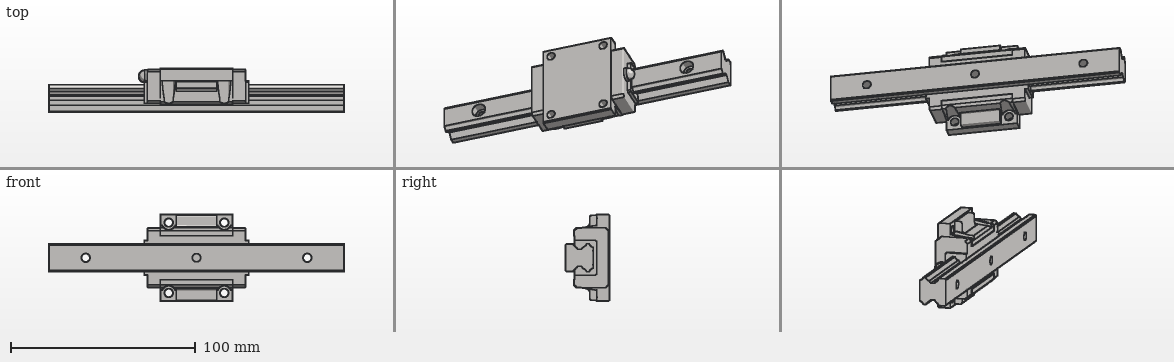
import cadquery as cq
import math


rail_length = 160.0
rail_height = 15.0
rail_half_width = 7.5
base_chamfer = 0.6
base_side_top = 4.0
neck_bottom = 6.7
neck_top = 8.6
neck_half_width = 4.6
lower_race_bottom = 9.6
lower_race_half_width = 5.8
head_flat_bottom = 11.5
head_flat_top = 13.0
rail_top_half_width = 5.6
race_sag = 0.3
screw_pitch = 60.0
screw_hole_diameter = 4.5
counterbore_diameter = 7.5
counterbore_depth = 5.3

top_face = 24.0
block_length = 39.2
flange_half_width = 23.5
flange_edge_chamfer = 0.6
flange_underside = 17.1
wall_top_half_width = 17.6
wall_bottom = 8.0
body_half_width = 16.2
body_chamfer = 1.5
skirt_bottom = 5.0
runner_bottom = 4.5
runner_inner_half_width = 11.8

rib_length = 21.8
rib_half_width = 23.0
rib_bottom = 13.1
rib_root_chamfer = 0.5
rib_fillet = 1.1
cove_radius = 1.8
cove_end_half_width = 16.8

flange_hole_pitch_x = 30.0
flange_hole_pitch_z = 38.0
flange_hole_diameter = 4.5
clearance_diameter = 7.7

caps_length = 53.1
cap_top = 23.4
cap_edge_fillet = 0.6
seals_length = 56.8
seal_half_width = 9.5
seal_top = 17.1
seal_chamfer = 0.8

nipple_height = 19.5
nipple_collar_radius = 3.7
nipple_collar_length = 1.5
nipple_ball_radius = 3.4


def centred_prism(outline, length):
    """Extrude an outline in the YZ plane along X, centred on X = 0."""
    return outline.close().extrude(length / 2, both=True)


def symmetric_prism(half_outline, length):
    """Extrude the +Z half of a profile along X and join its mirror image."""
    half = centred_prism(half_outline, length)
    return half.union(half.mirror("XY")).clean()


def race_arc(outline, start, end):
    """Add a concave arc that sags from its chord into the rail."""
    chord_y = end[0] - start[0]
    chord_z = end[1] - start[1]
    chord = math.hypot(chord_y, chord_z)
    middle = (
        (start[0] + end[0]) / 2 + race_sag * chord_z / chord,
        (start[1] + end[1]) / 2 - race_sag * chord_y / chord,
    )
    return outline.threePointArc(middle, end)


def rail_bar():
    """The rail without its screw holes; this is also the shape of the carriage's channel."""
    neck_corner = (lower_race_bottom, lower_race_half_width)
    head_lower = (head_flat_bottom, rail_half_width)
    head_upper = (head_flat_top, rail_half_width)
    head_top = (rail_height, rail_top_half_width)
    outline = (
        cq.Workplane("YZ")
        .moveTo(0, 0)
        .lineTo(0, rail_half_width - base_chamfer)
        .lineTo(base_chamfer, rail_half_width)
        .lineTo(base_side_top, rail_half_width)
        .lineTo(neck_bottom, neck_half_width)
        .lineTo(neck_top, neck_half_width)
        .lineTo(*neck_corner)
    )
    outline = race_arc(outline, neck_corner, head_lower)
    outline = outline.lineTo(*head_upper)
    outline = race_arc(outline, head_upper, head_top)
    return symmetric_prism(outline.lineTo(rail_height, 0), rail_length)


def make_rail():
    rail = rail_bar()
    for x in (-screw_pitch, 0, screw_pitch):
        hole = cq.Workplane("XZ").center(x, 0).circle(screw_hole_diameter / 2).extrude(-rail_height)
        counterbore = (
            cq.Workplane("XZ", origin=(0, rail_height, 0))
            .center(x, 0)
            .circle(counterbore_diameter / 2)
            .extrude(counterbore_depth)
        )
        rail = rail.cut(hole).cut(counterbore)
    return rail


def block_with_flanges():
    outline = (
        cq.Workplane("YZ")
        .moveTo(skirt_bottom, 0)
        .lineTo(skirt_bottom, runner_inner_half_width)
        .lineTo(runner_bottom, runner_inner_half_width)
        .lineTo(runner_bottom, body_half_width - body_chamfer)
        .lineTo(runner_bottom + body_chamfer, body_half_width)
        .lineTo(wall_bottom, body_half_width)
        .lineTo(flange_underside, wall_top_half_width)
        .lineTo(flange_underside, flange_half_width)
        .lineTo(top_face - flange_edge_chamfer, flange_half_width)
        .lineTo(top_face, flange_half_width - flange_edge_chamfer)
        .lineTo(top_face, 0)
    )
    return symmetric_prism(outline, block_length)


def flange_ribs():
    """Both ribs; each reaches inwards to the block's middle so that it joins the side wall."""
    cove_start = (rib_bottom, cove_end_half_width + cove_radius)
    cove_end = (rib_bottom - cove_radius, cove_end_half_width)
    outline = (
        cq.Workplane("YZ")
        .moveTo(flange_underside, 0)
        .lineTo(flange_underside, flange_half_width)
        .lineTo(flange_underside - rib_root_chamfer, rib_half_width)
        .lineTo(rib_bottom + rib_fillet, rib_half_width)
        .radiusArc((rib_bottom, rib_half_width - rib_fillet), -rib_fillet)
        .lineTo(*cove_start)
        .radiusArc(cove_end, cove_radius)
        .lineTo(cove_end[0], 0)
    )
    return symmetric_prism(outline, rib_length)


def end_caps():
    """One prism through the block that stands out at both ends as the end caps.

    The end faces have rounded edges on three sides; the long corners are bevelled.
    """
    box = cq.Workplane("XY").box(caps_length, cap_top - skirt_bottom, 2 * body_half_width)
    rounded = box.faces("<X or >X").edges("not(<Y)").fillet(cap_edge_fillet)
    bevelled = box.edges("|X").chamfer(body_chamfer)
    return rounded.intersect(bevelled).translate((0, (cap_top + skirt_bottom) / 2, 0))


def end_seals():
    seal_width = 2 * seal_half_width
    seals = cq.Workplane("XY").box(seals_length, seal_top - skirt_bottom, seal_width)
    seals = seals.translate((0, (seal_top + skirt_bottom) / 2, 0))
    return seals.faces(">Y").edges("|X").chamfer(seal_chamfer)


def flange_cylinders(diameter, bottom, top):
    """Cylinders along Y at the four flange hole centres."""
    return (
        cq.Workplane("XZ", origin=(0, bottom, 0))
        .rect(flange_hole_pitch_x, flange_hole_pitch_z, forConstruction=True)
        .vertices()
        .circle(diameter / 2)
        .extrude(bottom - top)
    )


def make_nipple():
    cap_end = -caps_length / 2
    ball_centre = cap_end - nipple_collar_length
    profile = (
        cq.Workplane("XY")
        .moveTo(cap_end, 0)
        .lineTo(cap_end, nipple_collar_radius)
        .lineTo(ball_centre, nipple_collar_radius)
        .lineTo(ball_centre, nipple_ball_radius)
        .radiusArc((ball_centre - nipple_ball_radius, 0), -nipple_ball_radius)
        .close()
    )
    return profile.revolve(360, (0, 0, 0), (1, 0, 0)).translate((0, nipple_height, 0))


def make_carriage(nipple):
    """The carriage, with the rail's channel and a recess in the seal around the nipple."""
    carriage = block_with_flanges().union(end_caps()).union(end_seals())
    carriage = carriage.cut(flange_cylinders(clearance_diameter, runner_bottom, flange_underside))
    carriage = carriage.union(flange_ribs())
    carriage = carriage.cut(flange_cylinders(flange_hole_diameter, flange_underside, top_face))
    return carriage.cut(rail_bar()).cut(nipple)


rail = make_rail()
nipple = make_nipple()
carriage = make_carriage(nipple)

result = cq.Compound.makeCompound([rail.solids().val(), carriage.solids().val(), nipple.val()])